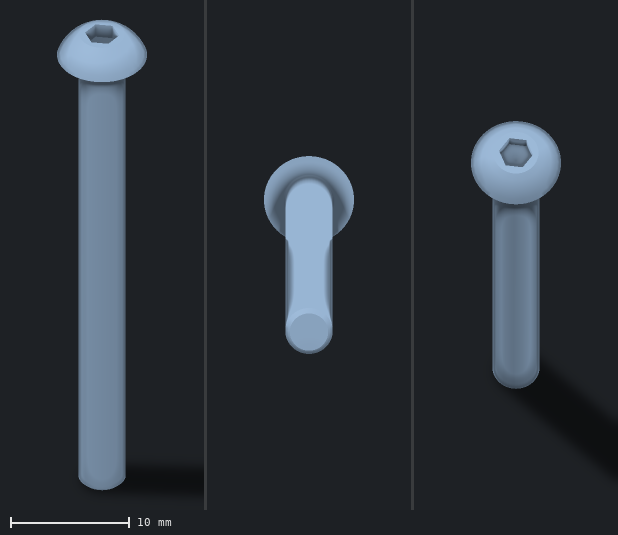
import cadquery as cq
import math

head_diameter = 7.6
head_height = 2.2
head_top_diameter = 3.8

shank_diameter = 4.0
shank_length = 45.0
tip_diameter = 3.242
tip_chamfer_height = (shank_diameter - tip_diameter) / 2
neck_fillet = 0.2

socket_across_flats = 2.5
socket_depth = 1.3
drill_point_angle = 140.0

head_radius = head_diameter / 2
head_top_radius = head_top_diameter / 2
shank_radius = shank_diameter / 2
socket_across_corners = socket_across_flats / math.cos(math.radians(30))


def dome_midpoint():
    """Middle of the dome arc, whose circle is centred on the screw axis."""
    top_z = head_height
    centre_z = (head_top_radius**2 + top_z**2 - head_radius**2) / (2 * top_z)
    dome_radius = math.hypot(head_radius, -centre_z)
    rim_angle = math.atan2(-centre_z, head_radius)
    top_angle = math.atan2(top_z - centre_z, head_top_radius)
    middle_angle = (rim_angle + top_angle) / 2
    return (
        dome_radius * math.cos(middle_angle),
        centre_z + dome_radius * math.sin(middle_angle),
    )


def make_body():
    """Head and shank revolved about Z, with the underside of the head at Z = 0."""
    profile = (
        cq.Workplane("XZ")
        .moveTo(0, -shank_length)
        .lineTo(tip_diameter / 2, -shank_length)
        .lineTo(shank_radius, -shank_length + tip_chamfer_height)
        .lineTo(shank_radius, -neck_fillet)
        .radiusArc((shank_radius + neck_fillet, 0), neck_fillet)
        .lineTo(head_radius, 0)
        .threePointArc(dome_midpoint(), (head_top_radius, head_height))
        .lineTo(0, head_height)
        .close()
    )
    return profile.revolve(360, (0, 0, 0), (0, 1, 0))


def make_socket():
    """Hexagonal prism with two corners on the Y axis, plus the cone below it."""
    floor_z = head_height - socket_depth
    cone_radius = socket_across_flats / 2
    cone_depth = cone_radius / math.tan(math.radians(drill_point_angle / 2))
    hexagon = (
        cq.Workplane("XY")
        .workplane(offset=floor_z)
        .transformed(rotate=(0, 0, 90))
        .polygon(6, socket_across_corners)
        .extrude(socket_depth)
    )
    cone = (
        cq.Workplane("XZ")
        .moveTo(0, floor_z)
        .lineTo(cone_radius, floor_z)
        .lineTo(0, floor_z - cone_depth)
        .close()
        .revolve(360, (0, 0, 0), (0, 1, 0))
    )
    return hexagon.union(cone)


result = make_body().cut(make_socket())